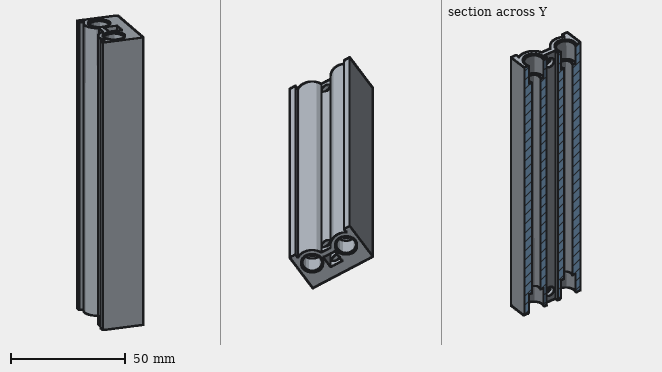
import cadquery as cq
import math

WIDTH = 31.0
DEPTH = 19.0
LENGTH = 133.0

BORE_SPACING = 17.5
BORE_Y = -1.75
BORE_DIAMETER = 5.73
PORT_DIAMETER = 8.57
PORT_DEPTH = 10.0
PORT_MOUTH_DIAMETER = 9.73
WALL_THICKNESS = 2.0

LIP_WIDTH = 3.0
VALLEY_Y = -4.35

CHANNEL_SIZE = 6.0
CHANNEL_Y = 1.25

MOUNT_DIAMETER = 4.5
MOUNT_END_DISTANCE = 5.25

HALF_WIDTH = WIDTH / 2
HALF_DEPTH = DEPTH / 2
HALF_LENGTH = LENGTH / 2
BORE_X = BORE_SPACING / 2
WALL_RADIUS = PORT_MOUTH_DIAMETER / 2 + WALL_THICKNESS


def make_profile_body():
    """Extrude the outline: a flat back and sides, edge lips and two rounded walls."""
    lip_x = HALF_WIDTH - LIP_WIDTH
    wall_start_y = BORE_Y - math.sqrt(WALL_RADIUS**2 - (lip_x - BORE_X) ** 2)
    wall_bottom_y = BORE_Y - WALL_RADIUS
    valley_x = BORE_X - math.sqrt(WALL_RADIUS**2 - (VALLEY_Y - BORE_Y) ** 2)
    return (
        cq.Workplane("XY")
        .workplane(offset=-HALF_LENGTH)
        .moveTo(-HALF_WIDTH, HALF_DEPTH)
        .lineTo(-HALF_WIDTH, -HALF_DEPTH)
        .lineTo(-lip_x, -HALF_DEPTH)
        .lineTo(-lip_x, wall_start_y)
        .threePointArc((-BORE_X, wall_bottom_y), (-valley_x, VALLEY_Y))
        .lineTo(valley_x, VALLEY_Y)
        .threePointArc((BORE_X, wall_bottom_y), (lip_x, wall_start_y))
        .lineTo(lip_x, -HALF_DEPTH)
        .lineTo(HALF_WIDTH, -HALF_DEPTH)
        .lineTo(HALF_WIDTH, HALF_DEPTH)
        .close()
        .extrude(LENGTH)
    )


def make_bore(x):
    """Through bore with an enlarged, 45-degree countersunk port at both ends."""
    bore_radius = BORE_DIAMETER / 2
    port_radius = PORT_DIAMETER / 2
    mouth_radius = PORT_MOUTH_DIAMETER / 2
    port_floor_z = HALF_LENGTH - PORT_DEPTH
    countersink_z = HALF_LENGTH - (mouth_radius - port_radius)
    return (
        cq.Workplane("XZ")
        .moveTo(0, -HALF_LENGTH)
        .lineTo(mouth_radius, -HALF_LENGTH)
        .lineTo(port_radius, -countersink_z)
        .lineTo(port_radius, -port_floor_z)
        .lineTo(bore_radius, -port_floor_z)
        .lineTo(bore_radius, port_floor_z)
        .lineTo(port_radius, port_floor_z)
        .lineTo(port_radius, countersink_z)
        .lineTo(mouth_radius, HALF_LENGTH)
        .lineTo(0, HALF_LENGTH)
        .close()
        .revolve(360, (0, 0), (0, 1))
        .translate((x, BORE_Y, 0))
    )


def make_channel():
    """Square channel along the whole length."""
    return cq.Workplane("XY").box(CHANNEL_SIZE, CHANNEL_SIZE, LENGTH).translate((0, CHANNEL_Y, 0))


def make_mount_holes():
    """Two holes along Y, on the part's centre line."""
    mount_z = HALF_LENGTH - MOUNT_END_DISTANCE
    return (
        cq.Workplane("XZ")
        .pushPoints([(0, -mount_z), (0, mount_z)])
        .circle(MOUNT_DIAMETER / 2)
        .extrude(HALF_DEPTH, both=True)
    )


result = make_profile_body()
for bore_x in (-BORE_X, BORE_X):
    result = result.cut(make_bore(bore_x))
result = result.cut(make_channel())
result = result.cut(make_mount_holes())